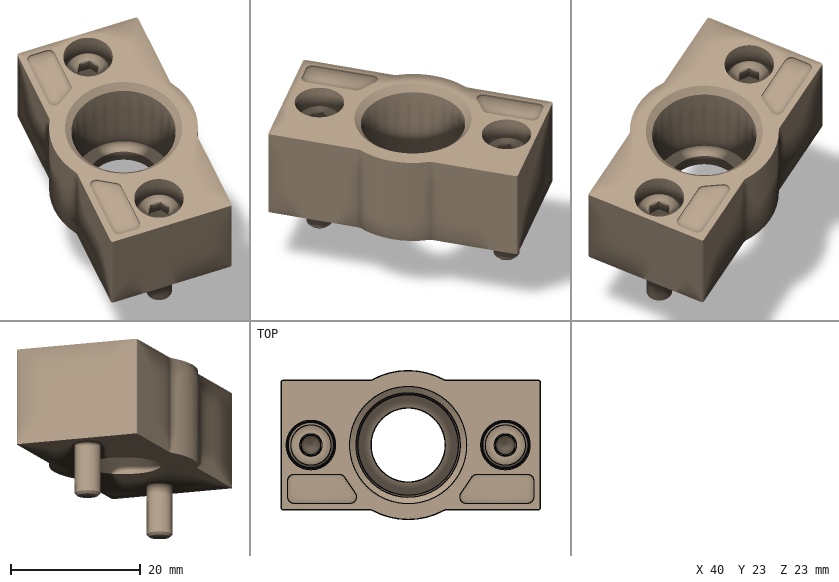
import cadquery as cq
import math

block_left = -19.6
block_right = 20.4
block_width = 20.0
block_height = 15.0
boss_diameter = 23.0
corner_radius = 0.3
boss_blend_radius = 1.0

draft_angle = 1.5

bore_diameter = 16.1
bore_mouth_diameter = 18.1
through_diameter = 11.4
ledge_thickness = 2.0

screw_spacing = 30.0
shank_diameter = 4.0
shank_tip_diameter = 3.25
shank_projection = 8.0
head_diameter = 7.0
head_height = 4.0
head_recess = 3.0
head_chamfer = 0.4
counterbore_diameter = 7.65
socket_across_flats = 3.0
socket_depth = 2.0
socket_cone_angle = 120.0
socket_turn = 30.0

pocket_margin = 1.0
pocket_width = 4.5
pocket_depth = 0.3
pocket_corner_radius = 1.0
pocket_slope_angle = 56.0
pocket_tip_x = 7.1

head_top = block_height - head_recess
head_seat = head_top - head_height
screw_places = [(-screw_spacing / 2, 0), (screw_spacing / 2, 0)]


def drafted(top_diameter, depth):
    """Diameter of a drafted hole at a depth below its given top diameter."""
    return top_diameter - 2 * depth * math.tan(math.radians(draft_angle))


def cone(bottom_diameter, top_diameter, bottom_z, height):
    """A cone or cone frustum on the Z axis."""
    solid = cq.Solid.makeCone(bottom_diameter / 2, top_diameter / 2, height, cq.Vector(0, 0, bottom_z))
    return cq.Workplane(solid)


def make_outline_body():
    """Block with rounded corners, merged with the boss through small blends."""
    block = (
        cq.Workplane()
        .center((block_left + block_right) / 2, 0)
        .rect(block_right - block_left, block_width)
        .extrude(block_height)
        .edges("|Z")
        .fillet(corner_radius)
    )
    boss = cq.Workplane().circle(boss_diameter / 2).extrude(block_height)
    reach = (boss_diameter / 2, boss_diameter / 2, block_height)
    junctions = cq.selectors.BoxSelector((-reach[0], -reach[1], 0), reach)
    return block.union(boss).edges("|Z").edges(junctions).fillet(boss_blend_radius)


def make_bore():
    """Tool for the main bore: chamfered mouth, tapered wall and a through hole."""
    mouth_depth = (bore_mouth_diameter - bore_diameter) / 2
    mouth_bottom = block_height - mouth_depth
    bore_floor_diameter = drafted(bore_diameter, mouth_bottom - ledge_thickness)
    profile = [
        (0, 0),
        (through_diameter / 2, 0),
        (through_diameter / 2, ledge_thickness),
        (bore_floor_diameter / 2, ledge_thickness),
        (bore_diameter / 2, mouth_bottom),
        (bore_mouth_diameter / 2, block_height),
        (0, block_height),
    ]
    return cq.Workplane("XZ").polyline(profile).close().revolve(360, (0, 0), (0, 1))


def make_pocket(side, outer_x):
    """Tool for a label pocket; side is -1 for left and 1 for right."""
    near_y = -block_width / 2 + pocket_margin
    far_y = near_y + pocket_width
    slope_run = pocket_width / math.tan(math.radians(pocket_slope_angle))
    corners = [
        (outer_x, near_y),
        (side * pocket_tip_x, near_y),
        (side * (pocket_tip_x + slope_run), far_y),
        (outer_x, far_y),
    ]
    return (
        cq.Workplane()
        .workplane(offset=block_height - pocket_depth)
        .polyline(corners)
        .close()
        .extrude(pocket_depth)
        .edges("|Z")
        .fillet(pocket_corner_radius)
    )


def make_screw_hole():
    """Tool for a shank hole with a tapered counterbore seating the head."""
    shank_hole = cq.Workplane().circle(shank_diameter / 2).extrude(block_height)
    depth = block_height - head_seat
    counterbore = cone(drafted(counterbore_diameter, depth), counterbore_diameter, head_seat, depth)
    return shank_hole.union(counterbore)


def make_housing():
    housing = make_outline_body().cut(make_bore())
    housing = housing.cut(make_pocket(-1, block_left + pocket_margin))
    housing = housing.cut(make_pocket(1, block_right - pocket_margin))
    for x, y in screw_places:
        housing = housing.cut(make_screw_hole().translate((x, y, 0)))
    return housing


def make_socket():
    """Tool for the hexagon socket, with a conical bottom and a chamfered mouth."""
    socket_corner_diameter = socket_across_flats / math.cos(math.pi / 6)
    socket_floor = head_top - socket_depth
    hexagon = (
        cq.Workplane()
        .polygon(6, socket_corner_diameter)
        .extrude(socket_depth)
        .rotate((0, 0, 0), (0, 0, 1), socket_turn)
        .translate((0, 0, socket_floor))
    )
    tip_height = socket_across_flats / 2 / math.tan(math.radians(socket_cone_angle / 2))
    tip = cone(0, socket_across_flats, socket_floor - tip_height, tip_height)
    mouth_depth = (socket_corner_diameter - socket_across_flats) / 2
    mouth = cone(socket_across_flats, socket_corner_diameter, head_top - mouth_depth, mouth_depth)
    return hexagon.union(tip).union(mouth)


def make_screw():
    """Socket head screw on the Z axis, at its final height."""
    head = cq.Workplane().workplane(offset=head_seat).circle(head_diameter / 2).extrude(head_height)
    head = head.faces(">Z").edges().chamfer(head_chamfer)
    shank = (
        cq.Workplane()
        .workplane(offset=-shank_projection)
        .circle(shank_diameter / 2)
        .extrude(shank_projection + head_seat)
        .faces("<Z")
        .chamfer((shank_diameter - shank_tip_diameter) / 2)
    )
    return head.union(shank).cut(make_socket())


housing = make_housing()
screws = []
for x, y in screw_places:
    screw = make_screw().translate((x, y, 0))
    screws.append(screw.val())

result = cq.Compound.makeCompound([housing.val(), *screws])